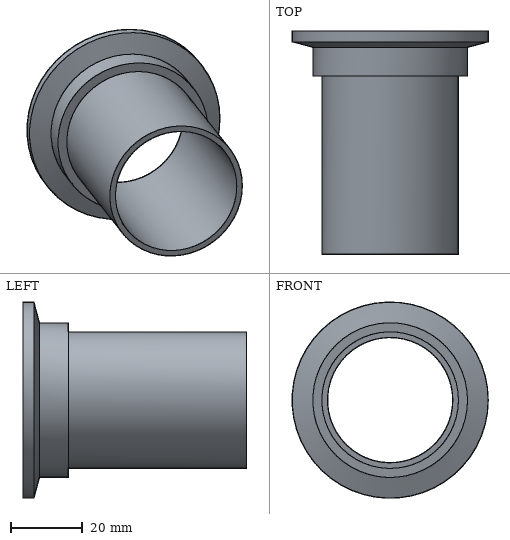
import cadquery as cq

total_length = 62.5
flange_diameter = 54.85
collar_diameter = 43.25
tube_diameter = 38.2
bore_diameter = 34.9
rim_thickness = 3.05
taper_length = 1.55
collar_length = 8.05

rim_start = total_length - rim_thickness
taper_start = rim_start - taper_length
collar_start = taper_start - collar_length

flange_radius = flange_diameter / 2
collar_radius = collar_diameter / 2
tube_radius = tube_diameter / 2
bore_radius = bore_diameter / 2

wall_section = [
    (bore_radius, 0),
    (tube_radius, 0),
    (tube_radius, collar_start),
    (collar_radius, collar_start),
    (collar_radius, taper_start),
    (flange_radius, rim_start),
    (flange_radius, total_length),
    (bore_radius, total_length),
]

result = (
    cq.Workplane("XY")
    .polyline(wall_section)
    .close()
    .revolve(360, (0, 0, 0), (0, 1, 0))
)